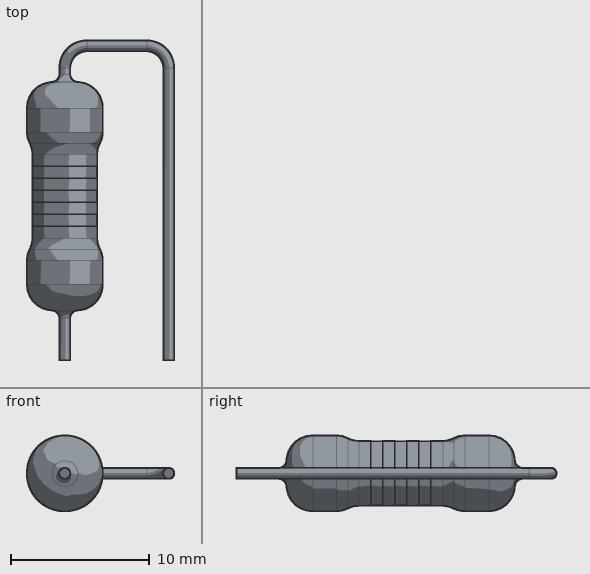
import cadquery as cq
import math


lead_diameter = 0.8
lead_pitch = 7.5
lead_tip_length = 3.6
lead_exit_length = 1.0
bend_radius = 1.6

body_length = 16.5
cap_diameter = 5.5
cap_round_radius = 1.9
cap_straight_length = 1.72
waist_diameter = 4.7
lead_fillet_radius = 0.55

band_diameter = 4.67
band_count = 3
band_width = 0.866

lead_radius = lead_diameter / 2
cap_radius = cap_diameter / 2
waist_radius = waist_diameter / 2
body_half = body_length / 2
body_middle = lead_tip_length + body_half
waist_half = (2 * band_count + 1) * band_width / 2
cap_outer = body_half - cap_round_radius
cap_inner = cap_outer - cap_straight_length


def point_on_arc(centre, radius, angle):
    """Point on a circle, with the angle in radians from the radial direction towards the axial one."""
    return (
        centre[0] + radius * math.cos(angle),
        centre[1] + radius * math.sin(angle),
    )


def make_half_body():
    """Half of the body, revolved about Y, from the body middle towards +Y."""
    shoulder_middle = ((waist_radius + cap_radius) / 2, (waist_half + cap_inner) / 2)

    round_centre = (cap_radius - cap_round_radius, cap_outer)
    centre_distance = cap_round_radius + lead_fillet_radius
    fillet_centre_radius = lead_radius + lead_fillet_radius
    contact_angle = math.acos((fillet_centre_radius - round_centre[0]) / centre_distance)
    fillet_centre = point_on_arc(round_centre, centre_distance, contact_angle)
    contact = point_on_arc(round_centre, cap_round_radius, contact_angle)
    round_middle = point_on_arc(round_centre, cap_round_radius, contact_angle / 2)
    fillet_middle = point_on_arc(fillet_centre, lead_fillet_radius, math.pi + contact_angle / 2)

    profile = (
        cq.Workplane("XY")
        .lineTo(waist_radius, 0)
        .lineTo(waist_radius, waist_half)
        .tangentArcPoint(shoulder_middle, relative=False)
        .tangentArcPoint((cap_radius, cap_inner), relative=False)
        .lineTo(cap_radius, cap_outer)
        .threePointArc(round_middle, contact)
        .threePointArc(fillet_middle, (lead_radius, fillet_centre[1]))
        .lineTo(0, fillet_centre[1])
        .close()
    )
    return profile.revolve(360, (0, 0, 0), (0, 1, 0))


def make_body():
    """Both mirrored halves, moved to the body's place along Y."""
    half = make_half_body()
    return half.union(half.mirror("XZ")).translate((0, body_middle, 0))


def make_band_cutter(index):
    """Ring that cuts one colour band slightly below the waist."""
    start = body_middle - waist_half + (2 * index + 1) * band_width
    ring = cq.Workplane("XZ", origin=(0, start, 0)).circle(cap_radius).circle(band_diameter / 2)
    return ring.extrude(-band_width)


def make_lead():
    """Wire through the body, bent back to run parallel to it at the lead pitch."""
    bend_start = lead_tip_length + body_length + lead_exit_length
    crossbar = bend_start + bend_radius
    bend_middle_angle = math.radians(45)
    bend_inset = bend_radius * (1 - math.cos(bend_middle_angle))
    path = (
        cq.Workplane("XY")
        .lineTo(0, bend_start)
        .threePointArc((bend_inset, crossbar - bend_inset), (bend_radius, crossbar))
        .lineTo(lead_pitch - bend_radius, crossbar)
        .threePointArc((lead_pitch - bend_inset, crossbar - bend_inset), (lead_pitch, bend_start))
        .lineTo(lead_pitch, 0)
    )
    return cq.Workplane("XZ").circle(lead_radius).sweep(path)


result = make_body()
for band_index in range(band_count):
    result = result.cut(make_band_cutter(band_index))
result = result.union(make_lead())